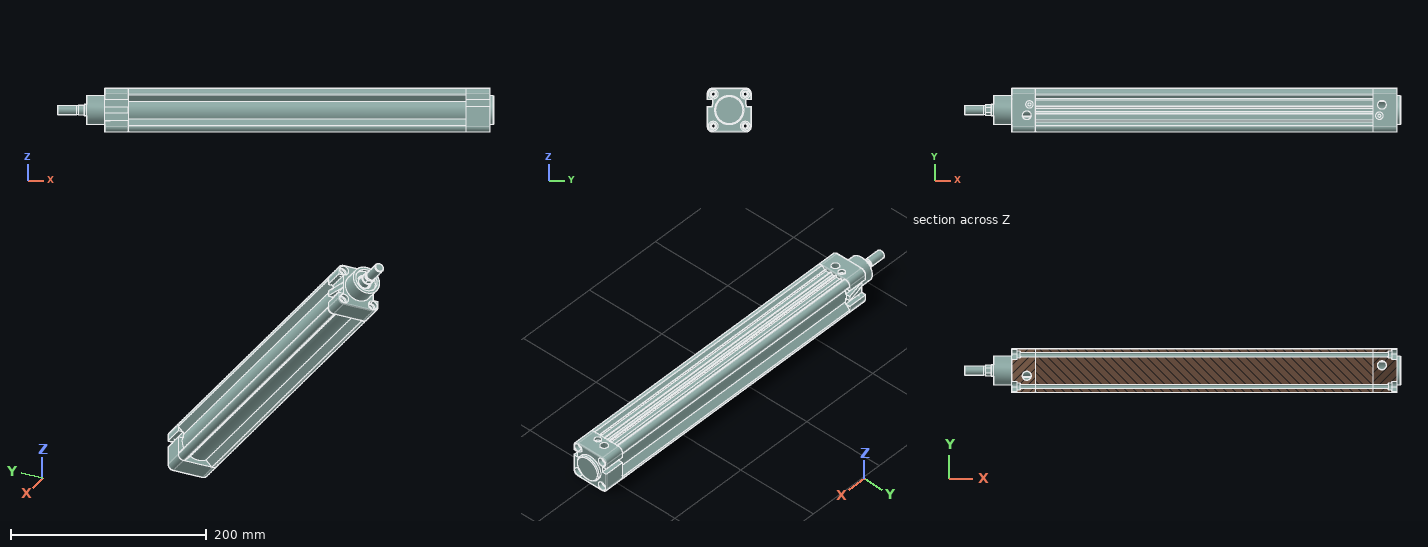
import cadquery as cq
import math


thread_end = 19.5
relief_end = 22.0
flats_end = 27.0
collar_front = 30.0
front_cap_face = 48.0
cap_length = 24.5
rear_cap_face = 442.0
overall_length = 446.0
barrel_start = front_cap_face + cap_length
barrel_end = rear_cap_face - cap_length

section_width = 45.0
half_width = section_width / 2
corner_radius = 6.0
cap_edge_radius = 1.0

screw_spacing = 32.5
screw_hole_diameter = 4.0
socket_diameter = 6.5
socket_depth = 2.0
counterbore_diameter = 10.0
counterbore_depth = 1.2

slot_floor = 17.0
slot_top = 10.5
rib_half_height = 2.9
rear_block_top = 3.5

collar_diameter = 30.0
collar_recess_diameter = 24.0
collar_recess_depth = 4.0
rod_seal_diameter = 14.5
rod_seal_depth = 6.5
spigot_chamfer = 1.1

chamber_depth = 14.5
front_chamber_diameter = 17.0
rear_chamber_diameter = 19.5

port_diameter = 9.0
port_depth = 18.0
port_inset = 15.5
port_offset = 5.5
cushion_diameter = 7.5
cushion_depth = 4.5
cushion_pin_diameter = 3.0
cushion_pin_depth = 6.2
cushion_inset = 18.5
cushion_offset = 6.0

rod_diameter = 12.0
thread_diameter = 10.0
thread_chamfer = 0.65
relief_depth = 0.15
flats_diameter = 11.5
flats_width = 10.3
rod_chamfer = 0.65

lobe_edge = 15.5
tube_edge = 9.0
tube_bore = 32.0
valley_middle = 12.0
lip_edge = 10.3
channel_floor = 18.5
ridge_edge = 4.0
ridge_slot_mouth = 3.0
ridge_slot_half_width = 1.5


def cylinder(diameter, start, end):
    """A round bar along X from start to end."""
    return cq.Workplane("YZ", origin=(start, 0, 0)).circle(diameter / 2).extrude(end - start)


def block(x_range, y_range, z_range):
    """A box given by its limits along each axis."""
    size = [high - low for low, high in (x_range, y_range, z_range)]
    corner = (x_range[0], y_range[0], z_range[0])
    return cq.Workplane("XY", origin=corner).box(*size, centered=False)


def corner_holes(diameter, start, end):
    """Four round cutters on the tie-screw pattern."""
    plane = cq.Workplane("YZ", origin=(start, 0, 0)).rarray(screw_spacing, screw_spacing, 2, 2)
    return plane.circle(diameter / 2).extrude(end - start)


def cap_blank(start, rounded_ends):
    """A square block with rounded long edges and rounded end outlines."""
    blank = cq.Workplane("YZ", origin=(start, 0, 0)).rect(section_width, section_width).extrude(cap_length)
    blank = blank.edges("|X").fillet(corner_radius)
    return blank.faces(rounded_ends).edges().fillet(cap_edge_radius)


def cut_side_slots(cap, start, bottom, top):
    """Cut one slot along the cap in each side face."""
    x_range = (start, start + cap_length)
    left = block(x_range, (slot_floor, section_width), (bottom, top))
    return cap.cut(left).cut(left.mirror("XZ"))


def cut_screw_seats(cap, face, inward):
    """Cut the counterbores and sockets of the tie screws from the outer cap face."""
    for diameter, depth in ((counterbore_diameter, counterbore_depth), (socket_diameter, socket_depth)):
        start, end = sorted((face, face + inward * depth))
        cap = cap.cut(corner_holes(diameter, start, end))
    return cap


def cut_top_holes(cap, face, inward):
    """Cut the air port and the cushioning-screw seat in the cap top."""
    port = (face + inward * port_inset, -inward * port_offset)
    cushion = (face + inward * cushion_inset, inward * cushion_offset)
    holes = (
        (port, port_diameter, port_depth),
        (cushion, cushion_diameter, cushion_depth),
        (cushion, cushion_pin_diameter, cushion_pin_depth),
    )
    for (x, y), diameter, depth in holes:
        hole = cq.Workplane("XY", origin=(x, y, half_width - depth)).circle(diameter / 2).extrude(depth)
        cap = cap.cut(hole)
    return cap


def ramp_rib():
    """Cutter that slopes the middle rib from the slot floor out to the side face."""
    return (
        cq.Workplane("XY", origin=(0, 0, -rib_half_height))
        .moveTo(front_cap_face, slot_floor)
        .lineTo(barrel_start, half_width)
        .lineTo(front_cap_face, half_width)
        .close()
        .extrude(2 * rib_half_height)
    )


def build_front_cap():
    cap = cap_blank(front_cap_face, "<X or >X")
    cap = cut_side_slots(cap, front_cap_face, rib_half_height, slot_top)
    cap = cut_side_slots(cap, front_cap_face, -slot_top, -rib_half_height)
    cap = cap.cut(ramp_rib()).cut(ramp_rib().mirror("XZ"))
    cap = cap.union(cylinder(collar_diameter, collar_front, front_cap_face))
    cap = cap.cut(cylinder(collar_recess_diameter, collar_front, collar_front + collar_recess_depth))
    cap = cap.cut(cylinder(rod_seal_diameter, collar_front, collar_front + rod_seal_depth))
    cap = cap.cut(cylinder(rod_diameter, collar_front, barrel_start))
    cap = cap.cut(cylinder(front_chamber_diameter, barrel_start - chamber_depth, barrel_start))
    cap = cap.cut(corner_holes(screw_hole_diameter, front_cap_face, barrel_start))
    cap = cut_screw_seats(cap, front_cap_face, 4.5)
    return cut_top_holes(cap, front_cap_face, 1)


def build_rear_cap():
    cap = cap_blank(barrel_end, ">X")
    cap = cut_side_slots(cap, barrel_end, rear_block_top, slot_top)
    spigot = cylinder(collar_diameter, rear_cap_face, overall_length)
    cap = cap.union(spigot.faces(">X").edges().chamfer(spigot_chamfer))
    cap = cap.cut(cylinder(rear_chamber_diameter, barrel_end, barrel_end + chamber_depth))
    cap = cap.cut(corner_holes(screw_hole_diameter, barrel_end, rear_cap_face))
    cap = cut_screw_seats(cap, rear_cap_face, -4.5)
    return cut_top_holes(cap, rear_cap_face, -1)


def side_recess():
    """Cutter for one plain side: 45 degree flanks down to the round tube wall."""
    wall = half_width - (lobe_edge - tube_edge)
    tube_radius = math.hypot(wall, tube_edge)
    return (
        cq.Workplane("YZ", origin=(barrel_start, 0, 0))
        .moveTo(half_width, lobe_edge)
        .lineTo(wall, tube_edge)
        .threePointArc((tube_radius, 0), (wall, -tube_edge))
        .lineTo(half_width, -lobe_edge)
        .close()
        .extrude(barrel_end - barrel_start)
    )


def top_recess():
    """Cutter for the top: a V valley and a flat channel on each side of a slotted ridge."""
    valley_floor = half_width - (lobe_edge - valley_middle)
    ridge_top = valley_floor + (valley_middle - lip_edge)
    half = [
        (lobe_edge, half_width),
        (valley_middle, valley_floor),
        (lip_edge, ridge_top),
        (lip_edge, channel_floor),
        (ridge_edge, channel_floor),
        (ridge_edge, ridge_top),
        (ridge_slot_mouth, ridge_top),
        (ridge_slot_half_width, ridge_top - (ridge_slot_mouth - ridge_slot_half_width)),
        (ridge_slot_half_width, channel_floor),
    ]
    outline = half + [(-y, z) for y, z in reversed(half)]
    plane = cq.Workplane("YZ", origin=(barrel_start, 0, 0))
    return plane.polyline(outline).close().extrude(barrel_end - barrel_start)


def build_barrel():
    length = barrel_end - barrel_start
    barrel = cq.Workplane("YZ", origin=(barrel_start, 0, 0)).rect(section_width, section_width).extrude(length)
    barrel = barrel.edges("|X").fillet(corner_radius)
    for angle in (0, 180, 270):
        barrel = barrel.cut(side_recess().rotate((0, 0, 0), (1, 0, 0), angle))
    barrel = barrel.cut(top_recess())
    barrel = barrel.cut(cylinder(tube_bore, barrel_start, barrel_end))
    return barrel.cut(corner_holes(screw_hole_diameter, barrel_start, barrel_end))


def build_rod():
    """Threaded tip, relief and wrench flats ahead of the plain rod, which runs the length of the barrel."""
    flats = cylinder(flats_diameter, relief_end, flats_end)
    flats = flats.intersect(cq.Workplane("XY").box(overall_length, rod_diameter, flats_width))
    rod = cylinder(thread_diameter, 0, thread_end).faces("<X").edges().chamfer(thread_chamfer)
    rod = rod.union(cylinder(thread_diameter - 2 * relief_depth, thread_end, relief_end))
    rod = rod.union(flats)
    return rod.union(cylinder(rod_diameter, flats_end, barrel_end).faces("<X").edges().chamfer(rod_chamfer))


front_cap = build_front_cap()
barrel = build_barrel()
rear_cap = build_rear_cap()
rod = build_rod()

result = cq.Compound.makeCompound([front_cap.val(), barrel.val(), rear_cap.val(), rod.val()])